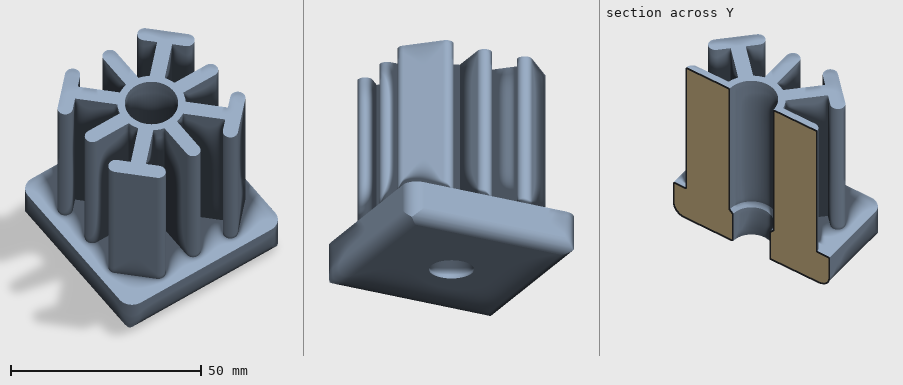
import cadquery as cq
import math

base_side = 50.0
total_height = 55.0
base_height = 11.0

corner_radius = 4.0
bottom_radius = 3.5

hub_diameter = 18.0
hole_top_diameter = 14.0
hole_bottom_diameter = 11.8
hole_cone_height = 1.1

rib_thickness = 4.0
rib_span = 42.0
crossbar_distance = 22.05
crossbar_length = 15.3

insert_height = total_height - base_height


def on_base():
    """Workplane on the top face of the base plate."""
    return cq.Workplane("XY").workplane(offset=base_height)


def make_base():
    """Square plate with mitred bottom rounds, trimmed to round vertical corners."""
    half = base_side / 2
    arc_inset = bottom_radius * (1 - math.sqrt(0.5))

    def rounded_profile(plane):
        return (
            cq.Workplane(plane)
            .moveTo(-half, base_height)
            .lineTo(-half, bottom_radius)
            .threePointArc((-half + arc_inset, arc_inset), (-half + bottom_radius, 0))
            .lineTo(half - bottom_radius, 0)
            .threePointArc((half - arc_inset, arc_inset), (half, bottom_radius))
            .lineTo(half, base_height)
            .close()
            .extrude(half, both=True)
        )

    rounded_corners = (
        cq.Workplane("XY")
        .rect(base_side, base_side)
        .extrude(base_height)
        .edges("|Z")
        .fillet(corner_radius)
    )
    return rounded_corners.intersect(rounded_profile("XZ")).intersect(rounded_profile("YZ"))


def make_straight_ribs(angle):
    """Two opposite ribs with round tips, as one bar through the hub."""
    return on_base().slot2D(rib_span, rib_thickness, angle).extrude(insert_height)


def make_tee_rib(angle):
    """Rib from the hub axis ending in a round-ended crossbar."""
    stem = (
        on_base()
        .center(crossbar_distance / 2, 0)
        .rect(crossbar_distance, rib_thickness)
        .extrude(insert_height)
    )
    crossbar = (
        on_base()
        .center(crossbar_distance, 0)
        .slot2D(crossbar_length, rib_thickness, 90)
        .extrude(insert_height)
    )
    return stem.union(crossbar).rotate((0, 0, 0), (0, 0, 1), angle)


def make_hole():
    """Wide bore that narrows through a cone to a smaller bore in the base."""
    wide_radius = hole_top_diameter / 2
    narrow_radius = hole_bottom_diameter / 2
    return (
        cq.Workplane("XZ")
        .lineTo(narrow_radius, 0)
        .lineTo(narrow_radius, base_height - hole_cone_height)
        .lineTo(wide_radius, base_height)
        .lineTo(wide_radius, total_height)
        .lineTo(0, total_height)
        .close()
        .revolve()
    )


result = make_base()
result = result.union(on_base().circle(hub_diameter / 2).extrude(insert_height))
for straight_angle in (0, 90):
    result = result.union(make_straight_ribs(straight_angle))
for tee_angle in (45, 135, 225, 315):
    result = result.union(make_tee_rib(tee_angle))
result = result.cut(make_hole())